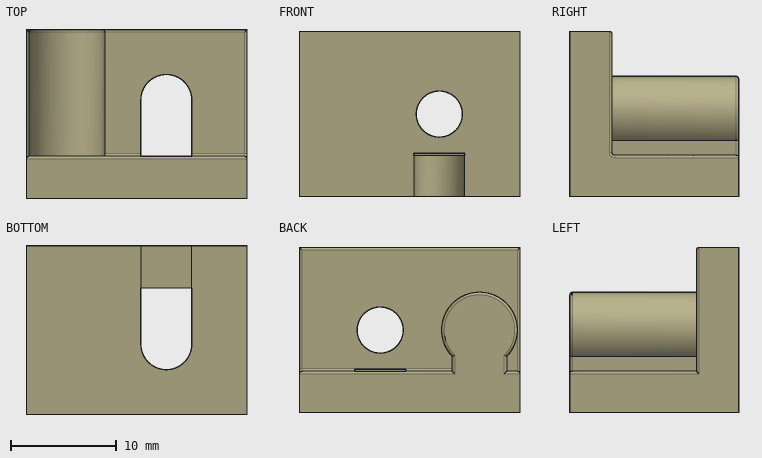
import cadquery as cq

length = 20.83
depth = 15.95
height = 15.6

wall_thickness = 4.0
base_thickness = 3.92
edge_radius = 0.25

cylinder_radius = 3.58
cylinder_x = edge_radius + cylinder_radius
cylinder_z = height / 2
web_width = 5.17

hole_diameter = 4.33
hole_x = 13.2
hole_z = height / 2
slot_width = 4.8
slot_end_y = 11.7
slot_height = 4.08


def make_bracket(round_corner):
    """L profile with rounded exposed edges and, if asked, a rounded inner corner."""
    base = cq.Workplane("XY").box(length, depth, base_thickness, centered=False)
    wall = cq.Workplane("XY").box(length, wall_thickness, height, centered=False)
    bracket = base.union(wall)

    base_edges = bracket.faces("|Z").faces(">Z[-2]").edges().vals()
    wall_edges = bracket.faces("|Y").faces(">Y[-2]").edges().vals()
    corner = (length / 2, wall_thickness, base_thickness)
    corner_edge = bracket.edges(cq.NearestToPointSelector(corner)).val()
    edges = []
    for edge in base_edges + wall_edges:
        if round_corner or not edge.isSame(corner_edge):
            edges.append(edge)
    return bracket.newObject(edges).fillet(edge_radius)


def make_body():
    """Bracket whose inner corner is sharp left of the web and rounded right of it."""
    left_part = cq.Workplane("XY").box(cylinder_x, depth, height, centered=False)
    return make_bracket(True).cut(left_part).union(make_bracket(False).intersect(left_part))


def make_support():
    """Cylinder along Y on a web, with a rounded free end."""
    cylinder = (
        cq.Workplane("XZ", origin=(cylinder_x, wall_thickness, cylinder_z))
        .circle(cylinder_radius)
        .extrude(wall_thickness - depth)
    )
    web = cq.Workplane("XY").box(web_width, depth - wall_thickness, cylinder_z, centered=False)
    web = web.translate((cylinder_x - web_width / 2, wall_thickness, 0))
    return cylinder.union(web).faces(">Y").edges().fillet(edge_radius)


def make_hole():
    return (
        cq.Workplane("XZ", origin=(hole_x, 0, hole_z))
        .circle(hole_diameter / 2)
        .extrude(-wall_thickness)
    )


def make_slot():
    """Slot open at the front, with a round inner end."""
    straight_end = slot_end_y - slot_width / 2
    return (
        cq.Workplane("XY")
        .moveTo(hole_x - slot_width / 2, 0)
        .lineTo(hole_x + slot_width / 2, 0)
        .lineTo(hole_x + slot_width / 2, straight_end)
        .threePointArc((hole_x, slot_end_y), (hole_x - slot_width / 2, straight_end))
        .close()
        .extrude(slot_height)
    )


result = make_body().union(make_support()).cut(make_hole()).cut(make_slot())